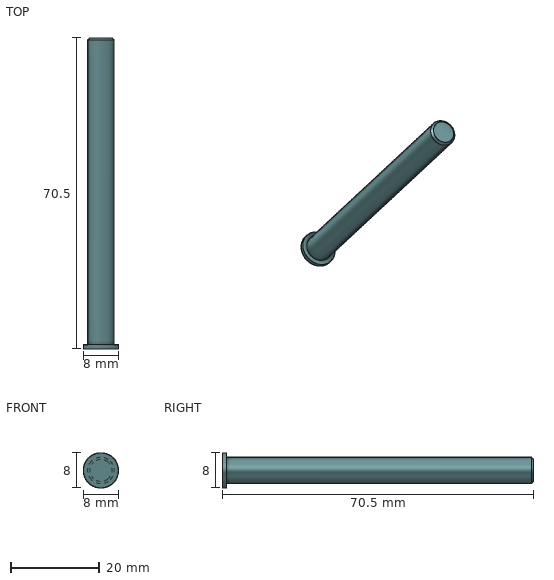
import cadquery as cq

total_length = 70.5
head_diameter = 8.0
head_thickness = 1.0
shank_diameter = 6.0
tip_chamfer = 0.5


def cylinder_along_y(diameter, length):
    """Cylinder on the Y axis, running from Y = 0 toward +Y."""
    return cq.Workplane("XZ").circle(diameter / 2).extrude(-length)


def make_shank():
    """Full-length shank with a chamfered tip at the +Y end."""
    shank = cylinder_along_y(shank_diameter, total_length)
    return shank.faces(">Y").edges().chamfer(tip_chamfer)


def make_head():
    """Thin flat disc that closes the -Y end."""
    return cylinder_along_y(head_diameter, head_thickness)


result = make_shank().union(make_head())